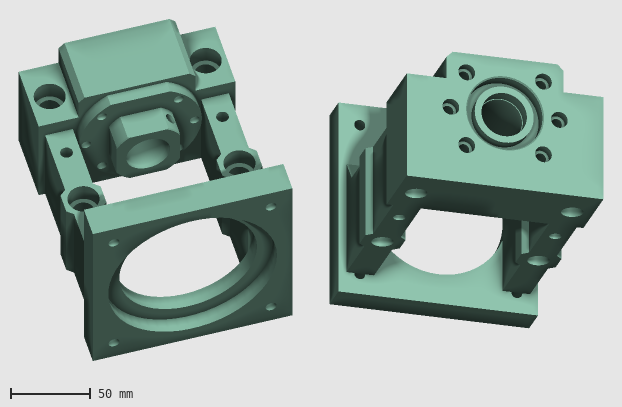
import cadquery as cq
import math

total_length = 170.0
plate_size = 130.0

plate_thickness = 20.0
plate_x = total_length - plate_thickness
motor_hole_dia = 89.8
pilot_recess_dia = 110.0
pilot_recess_depth = 10.0
plate_screw_dia = 7.1
plate_screw_offset = 51.2

block_length = 45.0
block_width = 128.2
base_z = -51.0
shoulder_z = 19.4
head_top_z = 38.0
head_width = 76.2
head_chamfer = 3.9

arm_offset = 50.8
arm_thickness = 18.0
arm_top_z = 8.8
gusset_length = 11.5
gusset_height = 14.5

boss_x = 100.0
boss_width = 26.2
boss_base_length = 20.0
boss_tip_length = 13.0

block_bolt_x = 24.1
bolt_hole_dia = 14.1
bolt_head_dia = 20.0
bolt_head_depth = 13.0
dowel_x = 61.9
dowel_dia = 8.0

flange_length = 7.8
flange_dia = 80.0
flange_flat_z = 35.0
flange_end_x = block_length + flange_length

collar_length = 17.5
collar_width = 41.1
collar_corner_dia = 49.0
collar_end_chamfer = 0.7
collar_end_x = flange_end_x + collar_length
set_screw_x = 60.5
set_screw_dia = 7.1

seat_dia = 49.1
seat_rim_chamfer = 0.8
seat_depth = 9.4
ring_dia = 38.5
ring_recess = 2.0
front_bore_dia = 29.5
front_bore_end_x = 11.0
bore_dia = 28.5

screw_circle_dia = 70.7
screw_angles = (0, 45, 135, 180, 225, 315)
screw_hole_dia = 7.1
flange_screw_hole_dia = 6.5
screw_head_dia = 10.9
screw_head_depth = 6.8


def axial_cylinder(dia, x_start, x_end, y=0.0, z=0.0):
    """Cylinder parallel to X."""
    return cq.Workplane("YZ", origin=(x_start, y, z)).circle(dia / 2).extrude(x_end - x_start)


def axial_box(x_start, x_end, width, z_bottom, z_top):
    """Box given by its X and Z limits and centred on Y = 0."""
    size = (x_end - x_start, width, z_top - z_bottom)
    return cq.Workplane("XY", origin=(x_start, 0, z_bottom)).box(*size, centered=(False, True, False))


def vertical_hole(x, y, dia, z_bottom, z_top):
    return cq.Workplane("XY", origin=(x, y, z_bottom)).circle(dia / 2).extrude(z_top - z_bottom)


def bearing_block():
    base = axial_box(0, block_length, block_width, base_z, shoulder_z)
    head = axial_box(0, block_length, head_width, base_z, head_top_z)
    head = head.edges("|X and >Z").chamfer(head_chamfer)
    return base.union(head)


def flange():
    disc = axial_cylinder(flange_dia, block_length, flange_end_x)
    return disc.intersect(axial_box(block_length, flange_end_x, flange_dia, -flange_dia, flange_flat_z))


def lock_collar():
    square = axial_box(flange_end_x, collar_end_x, collar_width, -collar_width / 2, collar_width / 2)
    rounded = axial_cylinder(collar_corner_dia, flange_end_x, collar_end_x)
    rounded = rounded.faces(">X").chamfer(collar_end_chamfer)
    return square.intersect(rounded)


def side_arm(y):
    profile = [
        (block_length, base_z),
        (plate_x, base_z),
        (plate_x, arm_top_z + gusset_height),
        (plate_x - gusset_length, arm_top_z),
        (block_length, arm_top_z),
    ]
    bar = cq.Workplane("XZ", origin=(0, y, 0)).polyline(profile).close().extrude(arm_thickness / 2, both=True)

    half_base = boss_base_length / 2
    half_tip = boss_tip_length / 2
    outline = [
        (-half_base, -arm_thickness / 2),
        (-half_tip, -boss_width / 2),
        (half_tip, -boss_width / 2),
        (half_base, -arm_thickness / 2),
        (half_base, arm_thickness / 2),
        (half_tip, boss_width / 2),
        (-half_tip, boss_width / 2),
        (-half_base, arm_thickness / 2),
    ]
    boss = cq.Workplane("XY", origin=(boss_x, y, base_z)).polyline(outline).close().extrude(arm_top_z - base_z)
    return bar.union(boss)


def motor_plate():
    plate = axial_box(plate_x, total_length, plate_size, -plate_size / 2, plate_size / 2)
    plate = plate.cut(axial_cylinder(motor_hole_dia, plate_x, total_length))
    plate = plate.cut(axial_cylinder(pilot_recess_dia, total_length - pilot_recess_depth, total_length))
    for y in (-plate_screw_offset, plate_screw_offset):
        for z in (-plate_screw_offset, plate_screw_offset):
            plate = plate.cut(axial_cylinder(plate_screw_dia, plate_x, total_length, y, z))
    return plate


def cut_vertical_holes(body, y):
    for x, z_top in ((block_bolt_x, shoulder_z), (boss_x, arm_top_z)):
        body = body.cut(vertical_hole(x, y, bolt_hole_dia, base_z, z_top))
        body = body.cut(vertical_hole(x, y, bolt_head_dia, z_top - bolt_head_depth, z_top))
    return body.cut(vertical_hole(dowel_x, y, dowel_dia, base_z, arm_top_z))


def cut_bearing_seat(body):
    seat = axial_cylinder(seat_dia, 0, seat_depth)
    seat_radius = seat_dia / 2
    origin = cq.Vector(0, 0, 0)
    x_axis = cq.Vector(1, 0, 0)
    rim = cq.Solid.makeCone(seat_radius + seat_rim_chamfer, seat_radius, seat_rim_chamfer, origin, x_axis)
    ring = axial_cylinder(ring_dia, ring_recess, seat_depth)
    body = body.cut(seat.cut(ring)).cut(cq.Workplane(rim))
    body = body.cut(axial_cylinder(front_bore_dia, 0, front_bore_end_x))
    return body.cut(axial_cylinder(bore_dia, 0, collar_end_x))


def cut_flange_screws(body):
    for angle in screw_angles:
        y = screw_circle_dia / 2 * math.cos(math.radians(angle))
        z = screw_circle_dia / 2 * math.sin(math.radians(angle))
        body = body.cut(axial_cylinder(screw_head_dia, 0, screw_head_depth, y, z))
        body = body.cut(axial_cylinder(screw_hole_dia, 0, block_length, y, z))
        body = body.cut(axial_cylinder(flange_screw_hole_dia, block_length, flange_end_x, y, z))
    return body


def cut_set_screw(body):
    """Radial hole from the bore through the collar corner between +Y and +Z."""
    plane = cq.Plane(origin=(set_screw_x, 0, 0), xDir=(1, 0, 0), normal=(0, 1, 1))
    return body.cut(cq.Workplane(plane).circle(set_screw_dia / 2).extrude(collar_width))


result = bearing_block().union(flange()).union(lock_collar()).union(motor_plate())
for side in (-1, 1):
    result = result.union(side_arm(side * arm_offset))
    result = cut_vertical_holes(result, side * arm_offset)
result = cut_bearing_seat(result)
result = cut_flange_screws(result)
result = cut_set_screw(result)